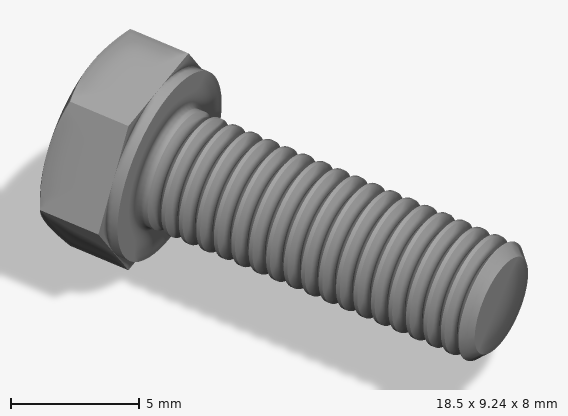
import cadquery as cq
import math

across_flats = 8.0
across_corners = across_flats / math.cos(math.radians(30))
head_height = 3.0
head_chamfer_angle = 30.0

washer_diameter = across_flats
washer_thickness = 0.5

shank_radius = 2.5
shank_length = 15.0
neck_fillet = 0.2
groove_count = 18
groove_pitch = shank_length / (groove_count + 1)
groove_depth = 0.44
groove_half_width = 0.31
tip_chamfer = 0.45

washer_start = head_height
shank_start = washer_start + washer_thickness
shank_end = shank_start + shank_length


def revolve_about_x(profile):
    """Turn a closed (axial, radial) profile about the bolt axis."""
    return profile.close().revolve(360, (0, 0, 0), (1, 0, 0))


def make_head():
    """Hexagonal prism with its corners along Y, turned conically at the top."""
    prism = cq.Workplane("YZ").polygon(6, across_corners).extrude(head_height)
    face_radius = across_flats / 2
    cone_radius = face_radius + head_height / math.tan(math.radians(head_chamfer_angle))
    cone = revolve_about_x(
        cq.Workplane("XY")
        .lineTo(0, face_radius)
        .lineTo(head_height, cone_radius)
        .lineTo(head_height, 0)
    )
    return prism.intersect(cone)


def make_washer_face():
    return (
        cq.Workplane("YZ")
        .workplane(offset=washer_start)
        .circle(washer_diameter / 2)
        .extrude(washer_thickness)
    )


def make_shank():
    """Neck fillet, ring-grooved length and chamfered tip in one revolved profile."""
    root_radius = shank_radius - groove_depth
    profile = (
        cq.Workplane("XY")
        .moveTo(shank_start, 0)
        .lineTo(shank_start, shank_radius + neck_fillet)
        .radiusArc((shank_start + neck_fillet, shank_radius), -neck_fillet)
    )
    for index in range(1, groove_count + 1):
        root_x = shank_start + index * groove_pitch
        profile = (
            profile.lineTo(root_x - groove_half_width, shank_radius)
            .lineTo(root_x, root_radius)
            .lineTo(root_x + groove_half_width, shank_radius)
        )
    profile = (
        profile.lineTo(shank_end - tip_chamfer, shank_radius)
        .lineTo(shank_end, shank_radius - tip_chamfer)
        .lineTo(shank_end, 0)
    )
    return revolve_about_x(profile)


result = make_head().union(make_washer_face()).union(make_shank())